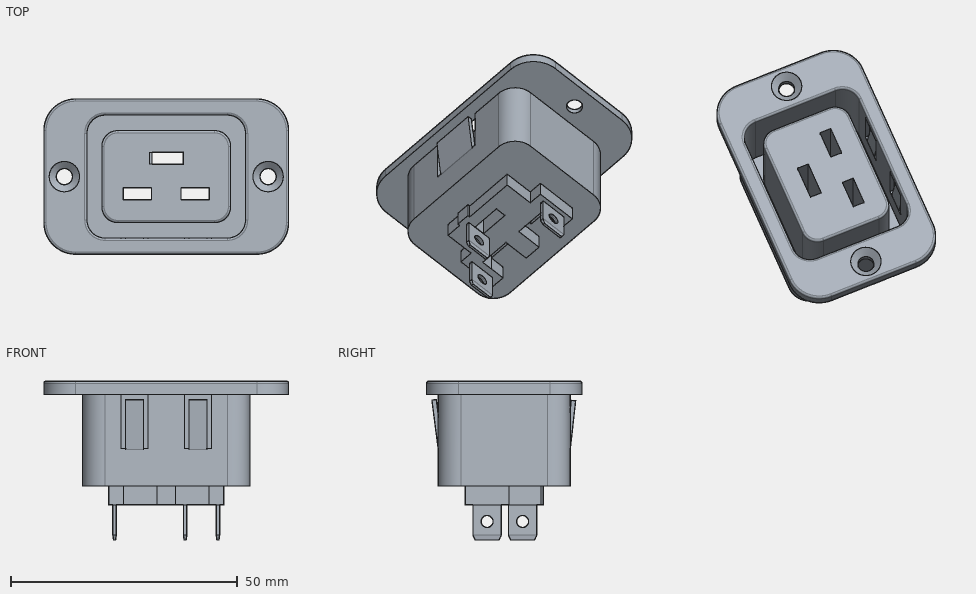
import cadquery as cq
import math


FLANGE_LENGTH = 54.05
FLANGE_WIDTH = 34.35
FLANGE_THICKNESS = 3.0
FLANGE_CORNER_RADIUS = 7.05
EDGE_ROUND = 0.505

SCREW_SPACING = 45.0
SCREW_DIAMETER = 3.5
COUNTERSINK_DIAMETER = 6.7
COUNTERSINK_ANGLE = 90.0

SHELL_LENGTH = 37.05
SHELL_WIDTH = 29.2
SHELL_CORNER_RADIUS = 5.05
SHELL_BOTTOM = -23.2
WALL = 1.05
CAVITY_FLOOR = SHELL_BOTTOM + WALL

ISLAND_LENGTH = 28.45
ISLAND_WIDTH = 20.3
ISLAND_CORNER_RADIUS = 3.5
ISLAND_TOP = 0.0

SLOT_WIDTH = 2.6
LINE_SLOT_LENGTH = 6.2
LINE_SLOT_X = 6.4
LINE_SLOT_Y = -3.8
EARTH_SLOT_LENGTH = 7.4
EARTH_SLOT_Y = 4.05
EARTH_SLOT_STEP = 0.6

BLOCK_HEIGHT = 4.1
BLOCK_BOTTOM = SHELL_BOTTOM - BLOCK_HEIGHT
BLOCK_LENGTH = 25.4
BLOCK_FRONT = -8.65
BLOCK_MIDDLE = 1.1
BLOCK_BACK = 8.1
LEG_WIDTH = 3.25
POST_WIDTH = 4.1
RIB_DEPTH = 0.55

SIDE_GAP = 1.0
FRONT_TONGUE_WIDTH = 4.0
FRONT_TONGUE_X = 7.0
FRONT_WINDOW_TOP = -FLANGE_THICKNESS
FRONT_TONGUE_TOP = -4.15
FRONT_OVERHANG = 1.4
BACK_TONGUE_WIDTH = 10.0
BACK_WINDOW_TOP = -FLANGE_THICKNESS
BACK_TONGUE_TOP = -4.3
BACK_OVERHANG = 1.2
WINDOW_BOTTOM = -14.85
TONGUE_ROOT = -15.1

TERMINAL_THICKNESS = 0.8
TERMINAL_WIDTH = 6.3
TERMINAL_BOTTOM = -35.1
TERMINAL_HOLE_DIAMETER = 2.6
TERMINAL_HOLE_Z = -31.0
TIP_HEIGHT = 1.1
TIP_SIDE_BEVEL = 0.55
TIP_FACE_BEVEL = 0.15
LINE_TERMINAL_X = 11.4
EARTH_TERMINAL_X = 4.15
TERMINAL_POSITIONS = [
    (-LINE_TERMINAL_X, LINE_SLOT_Y),
    (LINE_TERMINAL_X, LINE_SLOT_Y),
    (EARTH_TERMINAL_X, EARTH_SLOT_Y),
]


def block(x_range, y_range, z_range):
    """Box spanning the given (low, high) ranges."""
    sizes = [high - low for low, high in (x_range, y_range, z_range)]
    corner = (x_range[0], y_range[0], z_range[0])
    return cq.Workplane(cq.Solid.makeBox(*sizes, cq.Vector(*corner)))


def rounded_block(length, width, radius, bottom, top):
    """Centred upright block with rounded vertical edges."""
    body = cq.Workplane().workplane(offset=bottom).rect(length, width).extrude(top - bottom)
    return body.edges("|Z").fillet(radius)


def shell():
    """Flange and hollow shell, open at the front."""
    flange = rounded_block(
        FLANGE_LENGTH, FLANGE_WIDTH, FLANGE_CORNER_RADIUS, -FLANGE_THICKNESS, 0
    )
    flange = flange.faces(">Z").edges().fillet(EDGE_ROUND)
    outside = rounded_block(
        SHELL_LENGTH, SHELL_WIDTH, SHELL_CORNER_RADIUS, SHELL_BOTTOM, -FLANGE_THICKNESS
    )
    cavity = rounded_block(
        SHELL_LENGTH - 2 * WALL, SHELL_WIDTH - 2 * WALL, SHELL_CORNER_RADIUS - WALL, CAVITY_FLOOR, 0
    )
    body = flange.union(outside).cut(cavity)
    rim = cq.selectors.BoxSelector(
        (-SHELL_LENGTH / 2, -SHELL_WIDTH / 2, -EDGE_ROUND / 2),
        (SHELL_LENGTH / 2, SHELL_WIDTH / 2, EDGE_ROUND / 2),
    )
    return body.edges(rim).fillet(EDGE_ROUND)


def island():
    body = rounded_block(
        ISLAND_LENGTH, ISLAND_WIDTH, ISLAND_CORNER_RADIUS, CAVITY_FLOOR, ISLAND_TOP
    )
    return body.faces(">Z").edges().fillet(EDGE_ROUND)


def rear_block():
    """Stepped block carrying the terminals, notched at the front beside a central post."""
    z_range = (BLOCK_BOTTOM, SHELL_BOTTOM)
    half_length = BLOCK_LENGTH / 2
    leg_inside = half_length - LEG_WIDTH
    half_rib = LEG_WIDTH / 2
    body = block((-half_length, half_length), (BLOCK_FRONT, BLOCK_MIDDLE), z_range)
    body = body.union(block((-leg_inside, leg_inside), (BLOCK_MIDDLE, BLOCK_BACK), z_range))
    rib_x = (EARTH_TERMINAL_X - half_rib, EARTH_TERMINAL_X + half_rib)
    body = body.union(block(rib_x, (BLOCK_BACK, BLOCK_BACK + RIB_DEPTH), z_range))
    notch_y = (BLOCK_FRONT, LINE_SLOT_Y + SLOT_WIDTH / 2)
    for notch_x in ((-leg_inside, -POST_WIDTH / 2), (POST_WIDTH / 2, leg_inside)):
        body = body.cut(block(notch_x, notch_y, z_range))
    return body


def slots():
    """Blade slots through the island; the earth slot is shorter inside the rear block."""
    half_width = SLOT_WIDTH / 2
    half_line = LINE_SLOT_LENGTH / 2
    half_earth = EARTH_SLOT_LENGTH / 2
    line_y = (LINE_SLOT_Y - half_width, LINE_SLOT_Y + half_width)
    earth_y = (EARTH_SLOT_Y - half_width, EARTH_SLOT_Y + half_width)
    cutters = block((-half_earth, half_earth), earth_y, (SHELL_BOTTOM, ISLAND_TOP))
    cutters = cutters.union(
        block((EARTH_SLOT_STEP - half_earth, half_earth), earth_y, (BLOCK_BOTTOM, SHELL_BOTTOM))
    )
    for x in (-LINE_SLOT_X, LINE_SLOT_X):
        line_x = (x - half_line, x + half_line)
        cutters = cutters.union(block(line_x, line_y, (BLOCK_BOTTOM, ISLAND_TOP)))
    return cutters


def window(x, width, top):
    """Cutter for one window through the -Y wall."""
    x_range = (x - width / 2, x + width / 2)
    y_range = (-SHELL_WIDTH / 2, WALL - SHELL_WIDTH / 2)
    return block(x_range, y_range, (WINDOW_BOTTOM, top))


def tongue(x, width, top, overhang):
    """Snap tongue leaning outwards from the foot of a window in the -Y wall."""
    outside = -SHELL_WIDTH / 2
    lean = math.atan2(overhang, top - TONGUE_ROOT)
    tip_outside = outside - overhang
    profile = [
        (outside, TONGUE_ROOT),
        (tip_outside, top),
        (tip_outside + WALL * math.cos(lean), top + WALL * math.sin(lean)),
        (outside + WALL, TONGUE_ROOT),
    ]
    start = cq.Workplane("YZ", origin=(x - width / 2, 0, 0))
    return start.polyline(profile).close().extrude(width)


def facing_back(body):
    """Turn a feature of the -Y wall round to the +Y wall."""
    return body.rotate((0, 0, 0), (0, 0, 1), 180)


def add_snap_tongues(body):
    for x in (-FRONT_TONGUE_X, FRONT_TONGUE_X):
        body = body.cut(window(x, FRONT_TONGUE_WIDTH + 2 * SIDE_GAP, FRONT_WINDOW_TOP))
        body = body.union(tongue(x, FRONT_TONGUE_WIDTH, FRONT_TONGUE_TOP, FRONT_OVERHANG))
    body = body.cut(facing_back(window(0, BACK_TONGUE_WIDTH + 2 * SIDE_GAP, BACK_WINDOW_TOP)))
    return body.union(facing_back(tongue(0, BACK_TONGUE_WIDTH, BACK_TONGUE_TOP, BACK_OVERHANG)))


def make_housing():
    body = shell().union(island()).union(rear_block()).cut(slots())
    body = add_snap_tongues(body)
    screws = cq.Workplane().pushPoints([(-SCREW_SPACING / 2, 0), (SCREW_SPACING / 2, 0)])
    screw_cutters = screws.circle(SCREW_DIAMETER / 2).extrude(-FLANGE_THICKNESS)
    taper = COUNTERSINK_ANGLE / 2
    sink_depth = (COUNTERSINK_DIAMETER - SCREW_DIAMETER) / 2 / math.tan(math.radians(taper))
    sinks = screws.circle(COUNTERSINK_DIAMETER / 2).extrude(-sink_depth, taper=taper)
    return body.cut(screw_cutters).cut(sinks)


def make_terminal(x, y):
    """Flat solder tab under the rear block, with a wire hole and a bevelled tip."""
    tip_start = TERMINAL_BOTTOM + TIP_HEIGHT
    blade = block(
        (x - TERMINAL_THICKNESS / 2, x + TERMINAL_THICKNESS / 2),
        (y - TERMINAL_WIDTH / 2, y + TERMINAL_WIDTH / 2),
        (tip_start, BLOCK_BOTTOM),
    )
    tip = (
        cq.Workplane(origin=(x, y, tip_start))
        .rect(TERMINAL_THICKNESS, TERMINAL_WIDTH)
        .workplane(offset=-TIP_HEIGHT)
        .rect(TERMINAL_THICKNESS - 2 * TIP_FACE_BEVEL, TERMINAL_WIDTH - 2 * TIP_SIDE_BEVEL)
        .loft()
    )
    hole = (
        cq.Workplane("YZ", origin=(x, y, TERMINAL_HOLE_Z))
        .circle(TERMINAL_HOLE_DIAMETER / 2)
        .extrude(TERMINAL_THICKNESS / 2, both=True)
    )
    return blade.union(tip).cut(hole).solids()


housing = make_housing()
terminals = [make_terminal(x, y) for x, y in TERMINAL_POSITIONS]

terminal_solids = [terminal.val() for terminal in terminals]
result = cq.Compound.makeCompound([housing.solids().val(), *terminal_solids])